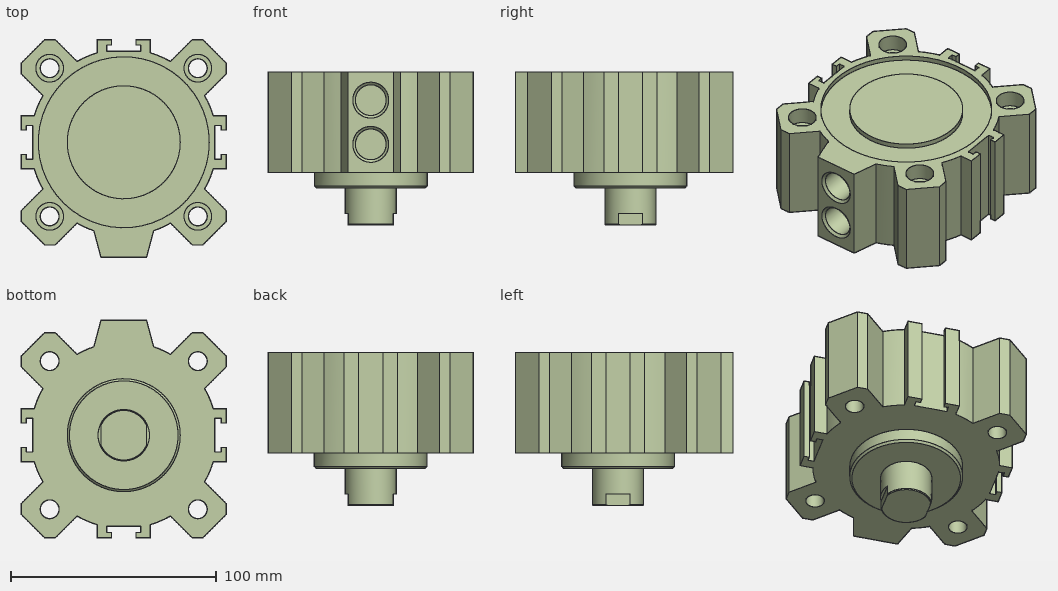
import cadquery as cq

frame_width = 100.0
body_height = 49.0
barrel_diameter = 91.0

lug_width = 23.5
lug_reach = 62.5
bolt_offset = 36.0
bolt_diameter = 9.0
counterbore_diameter = 13.5
counterbore_depth = 8.5

rail_width = 26.0
slot_opening = 11.8
slot_width = 16.3
slot_depth = 5.6
lip_thickness = 2.6

overall_depth = 106.0
port_face_y = overall_depth - frame_width / 2
port_face_width = 22.3
port_root_width = 29.2
port_root_y = 43.1
port_diameter = 14.9
port_chamfer = 1.3
port_depth = 15.9
port_spacing = 21.5
port_mid_height = body_height / 2

recess_diameter = 83.2
recess_depth = 2.5
pad_diameter = 55.0
collar_diameter = pad_diameter
collar_height = 7.5
collar_chamfer = 1.1

rod_diameter = 25.0
rod_projection = 18.0
rod_flat_width = 22.0
rod_flat_height = 5.5
rod_chamfer = 0.4

rod_length = collar_height + rod_projection
rod_bottom = -rod_length


def make_lugs():
    """Two crossed diagonal bars, trimmed by the square frame."""
    frame = cq.Workplane("XY").rect(frame_width, frame_width).extrude(body_height)
    bar = cq.Workplane("XY").rect(2 * lug_reach, lug_width).extrude(body_height)
    lugs = bar.rotate((0, 0, 0), (0, 0, 1), 45).union(bar.rotate((0, 0, 0), (0, 0, 1), -45))
    return lugs.intersect(frame)


def make_rail(angle):
    """Solid rail on +X, turned about Z by the angle."""
    reach = frame_width / 2
    rail = cq.Workplane("XY").center(reach / 2, 0).rect(reach, rail_width).extrude(body_height)
    return rail.rotate((0, 0, 0), (0, 0, 1), angle)


def make_t_slot(angle):
    """T-slot cutter for the rail on +X, turned about Z by the angle."""
    face_x = frame_width / 2
    lip_x = face_x - lip_thickness
    floor_x = face_x - slot_depth
    slot = (
        cq.Workplane("XY")
        .moveTo(face_x, slot_opening / 2)
        .lineTo(lip_x, slot_opening / 2)
        .lineTo(lip_x, slot_width / 2)
        .lineTo(floor_x, slot_width / 2)
        .lineTo(floor_x, 0)
        .lineTo(face_x, 0)
        .mirrorX()
        .extrude(body_height)
    )
    return slot.rotate((0, 0, 0), (0, 0, 1), angle)


def make_port_block():
    """Tapered block, continued along its flanks into the barrel."""
    inner_y = barrel_diameter / 4
    flank_slope = (port_root_width - port_face_width) / 2 / (port_face_y - port_root_y)
    inner_half = port_face_width / 2 + flank_slope * (port_face_y - inner_y)
    outline = [
        (-port_face_width / 2, -port_face_y),
        (port_face_width / 2, -port_face_y),
        (inner_half, -inner_y),
        (-inner_half, -inner_y),
    ]
    return cq.Workplane("XY").polyline(outline).close().extrude(body_height)


def make_port(height):
    """Blind port cutter with a chamfered mouth."""
    radius = port_diameter / 2
    profile = [
        (0, 0),
        (radius + port_chamfer, 0),
        (radius, port_chamfer),
        (radius, port_depth),
        (0, port_depth),
    ]
    port = cq.Workplane("XY").polyline(profile).close().revolve(360, (0, 0), (0, 1))
    return port.translate((0, -port_face_y, height))


def make_housing():
    housing = cq.Workplane("XY").circle(barrel_diameter / 2).extrude(body_height)
    housing = housing.union(make_lugs()).union(make_port_block())

    rail_angles = (0, 90, 180)
    for angle in rail_angles:
        housing = housing.union(make_rail(angle))
    for angle in rail_angles:
        housing = housing.cut(make_t_slot(angle))

    housing = (
        housing.faces(">Z").workplane(origin=(0, 0, body_height))
        .rect(2 * bolt_offset, 2 * bolt_offset, forConstruction=True).vertices()
        .cboreHole(bolt_diameter, counterbore_diameter, counterbore_depth)
    )

    for side in (-1, 1):
        housing = housing.cut(make_port(port_mid_height + side * port_spacing / 2))

    recess = (
        cq.Workplane("XY").workplane(offset=body_height)
        .circle(recess_diameter / 2).circle(pad_diameter / 2).extrude(-recess_depth)
    )
    housing = housing.cut(recess)

    collar = cq.Workplane("XY").circle(collar_diameter / 2).extrude(-collar_height)
    collar = collar.faces("<Z").edges().chamfer(collar_chamfer)
    bore = cq.Workplane("XY").circle(rod_diameter / 2).extrude(-collar_height)
    return housing.union(collar).cut(bore)


def make_rod():
    rod = cq.Workplane("XY").circle(rod_diameter / 2).extrude(rod_bottom)
    rod = rod.faces("<Z").edges().chamfer(rod_chamfer)
    flats = (
        cq.Workplane("XY").workplane(offset=rod_bottom)
        .rect(2 * rod_diameter, 2 * rod_diameter).rect(rod_flat_width, 2 * rod_diameter)
        .extrude(rod_flat_height)
    )
    return rod.cut(flats)


housing = make_housing()
rod = make_rod()

result = cq.Compound.makeCompound([housing.val(), rod.val()])